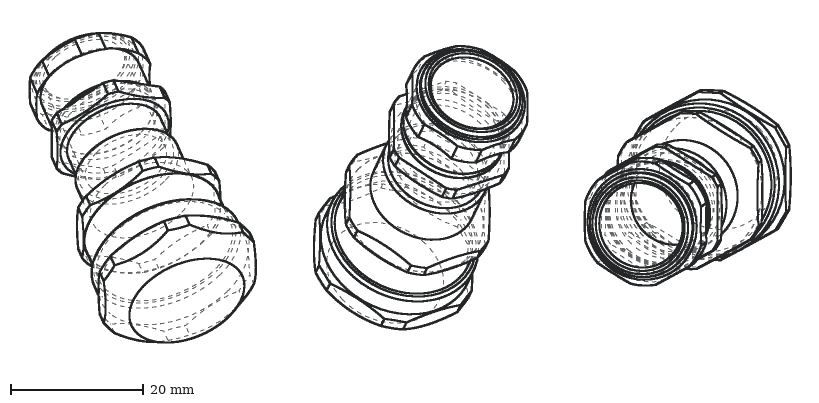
import cadquery as cq

TOTAL_LENGTH = 48.9

SLEEVE_DIA = 16.0
SLEEVE_EDGE = 0.55
SLEEVE_END = 10.8
SLEEVE_REAR_CHAMFER = 0.3
BORE_DIA = 13.0
BORE_EDGE = 0.45
BORE_DEPTH = 20.3

RING_CREST_DIA = 16.1
RING_EDGE_DIA = 15.5

FRONT_NUT_FLATS = 18.1
FRONT_NUT_CORNERS = 19.07
FRONT_NUT_START = 1.15
FRONT_NUT_FACE_DIA = 17.0
FRONT_NUT_CORNER_START = 1.8
FRONT_NUT_END = 5.2

LOCKNUT_FLATS = 18.1
LOCKNUT_CORNERS = 20.0
LOCKNUT_START = 11.95
LOCKNUT_CORNER_END = 14.3
LOCKNUT_END = 14.9
LOCKNUT_FACE_DIA = 17.3

NECK_DIA = 15.2
BARREL_DIA = 16.55
BARREL_START = 20.3
BARREL_CHAMFER_LENGTH = 0.5

MIDDLE_NUT_FLATS = 21.9
MIDDLE_NUT_CORNERS = 23.95
MIDDLE_NUT_START = 27.85
MIDDLE_NUT_CORNER_START = 30.05
MIDDLE_NUT_CORNER_END = 31.95
MIDDLE_NUT_END = 32.65
MIDDLE_NUT_FACE_DIA = 21.8

REAR_BARREL_DIA = 21.7
COLLAR_DIA = 23.8
COLLAR_START = 38.55
COLLAR_EDGE = 0.55

REAR_NUT_FLATS = 24.0
REAR_NUT_CORNER_FLATS = 25.75
REAR_NUT_START = 42.55
REAR_NUT_SLOPE = 0.6
REAR_NUT_END_DIA = 18.4
REAR_NUT_BLANK_MARGIN = 0.5


def revolve(outline):
    """Turn a closed outline of (x, radius) about the X axis."""
    return outline.close().revolve(360, (0, 0, 0), (1, 0, 0))


def turned(points):
    """Solid of revolution whose outline runs through (x, radius) points."""
    first_x = points[0][0]
    last_x = points[-1][0]
    return revolve(cq.Workplane("XY").polyline([(first_x, 0), *points, (last_x, 0)]))


def hexagon(start, end, across_flats, turn=0):
    """Hexagonal prism along X, turned about X; with no turn, two flats face +Y and -Y."""
    prism = (
        cq.Workplane("YZ", origin=(start, 0, 0))
        .polygon(6, across_flats, circumscribed=True)
        .extrude(end - start)
    )
    return prism.rotate((0, 0, 0), (1, 0, 0), turn)


def sleeve():
    radius = SLEEVE_DIA / 2
    rear_radius = radius - SLEEVE_REAR_CHAMFER
    return turned([
        (0, radius - SLEEVE_EDGE),
        (SLEEVE_EDGE, radius),
        (SLEEVE_END - SLEEVE_REAR_CHAMFER, radius),
        (SLEEVE_END, rear_radius),
    ])


def bore():
    radius = BORE_DIA / 2
    return turned([
        (0, radius + BORE_EDGE),
        (BORE_EDGE, radius),
        (BORE_DEPTH, radius),
    ])


def ring():
    middle = (SLEEVE_END + LOCKNUT_START) / 2
    return revolve(
        cq.Workplane("XY")
        .moveTo(SLEEVE_END, 0)
        .lineTo(SLEEVE_END, RING_EDGE_DIA / 2)
        .threePointArc((middle, RING_CREST_DIA / 2), (LOCKNUT_START, RING_EDGE_DIA / 2))
        .lineTo(LOCKNUT_START, 0)
    )


def front_nut():
    corner_radius = FRONT_NUT_CORNERS / 2
    dish_depth = corner_radius - SLEEVE_DIA / 2
    blank = turned([
        (FRONT_NUT_START, FRONT_NUT_FACE_DIA / 2),
        (FRONT_NUT_CORNER_START, corner_radius),
        (FRONT_NUT_END, corner_radius),
        (FRONT_NUT_END - dish_depth, SLEEVE_DIA / 2),
    ])
    return blank.intersect(hexagon(FRONT_NUT_START, FRONT_NUT_END, FRONT_NUT_FLATS))


def locknut():
    blank = turned([
        (LOCKNUT_START, LOCKNUT_CORNERS / 2),
        (LOCKNUT_CORNER_END, LOCKNUT_CORNERS / 2),
        (LOCKNUT_END, LOCKNUT_FACE_DIA / 2),
    ])
    return blank.intersect(hexagon(LOCKNUT_START, LOCKNUT_END, LOCKNUT_FLATS))


def neck_and_barrel():
    return turned([
        (LOCKNUT_END, NECK_DIA / 2),
        (BARREL_START, NECK_DIA / 2),
        (BARREL_START + BARREL_CHAMFER_LENGTH, BARREL_DIA / 2),
        (MIDDLE_NUT_START, BARREL_DIA / 2),
    ])


def middle_nut():
    blank = turned([
        (MIDDLE_NUT_START, BARREL_DIA / 2),
        (MIDDLE_NUT_CORNER_START, MIDDLE_NUT_CORNERS / 2),
        (MIDDLE_NUT_CORNER_END, MIDDLE_NUT_CORNERS / 2),
        (MIDDLE_NUT_END, MIDDLE_NUT_FACE_DIA / 2),
    ])
    return blank.intersect(hexagon(MIDDLE_NUT_START, MIDDLE_NUT_END, MIDDLE_NUT_FLATS))


def rear_barrel():
    return turned([
        (MIDDLE_NUT_END, REAR_BARREL_DIA / 2),
        (COLLAR_START, REAR_BARREL_DIA / 2),
        (COLLAR_START, COLLAR_DIA / 2 - COLLAR_EDGE),
        (COLLAR_START + COLLAR_EDGE, COLLAR_DIA / 2),
        (REAR_NUT_START, COLLAR_DIA / 2),
    ])


def rear_nut():
    outer_radius = REAR_NUT_CORNER_FLATS / 2 + REAR_NUT_BLANK_MARGIN
    front_length = (outer_radius - COLLAR_DIA / 2) * REAR_NUT_SLOPE
    rear_length = outer_radius - REAR_NUT_END_DIA / 2
    blank = turned([
        (REAR_NUT_START, COLLAR_DIA / 2),
        (REAR_NUT_START + front_length, outer_radius),
        (TOTAL_LENGTH - rear_length, outer_radius),
        (TOTAL_LENGTH, REAR_NUT_END_DIA / 2),
    ])
    sides = hexagon(REAR_NUT_START, TOTAL_LENGTH, REAR_NUT_FLATS)
    corner_sides = hexagon(REAR_NUT_START, TOTAL_LENGTH, REAR_NUT_CORNER_FLATS, turn=30)
    return blank.intersect(sides).intersect(corner_sides)


result = (
    sleeve()
    .union(front_nut())
    .union(ring())
    .union(locknut())
    .union(neck_and_barrel())
    .union(middle_nut())
    .union(rear_barrel())
    .union(rear_nut())
    .cut(bore())
)